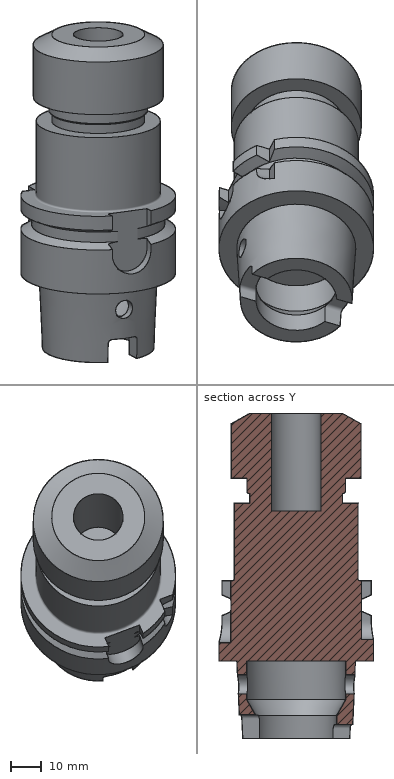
import cadquery as cq

total_height = 105.0
shank_length = 25.0
shank_top_radius = 19.2
shank_end_radius = 18.1
shank_mouth_radius = 13.0
shank_mouth_length = 7.5
shank_cavity_radius = 16.0
clamping_shoulder_top = 12.6
coolant_hole_radius = 3.0
coolant_hole_z = 17.5

flange_radius = 25.0
flange_top = 51.0
groove_radius = 21.5
groove_mid_z = 43.0
groove_floor_width = 3.5
groove_mouth_width = 6.6

body_radius = 20.1
body_top = 76.0
body_root_fillet = 0.6
neck_radius = 15.0
collar_radius = 16.0
collar_bottom = 79.1
collar_chamfer = 0.5
nut_bottom = 84.0
nut_radius = 21.0
nut_face_radius = 15.0
nut_chamfer_height = 3.4
collet_bore_radius = 8.0
collet_bore_depth = 31.5

slot_centre_z = 38.0
left_slot_width = 12.0
left_slot_floor = 21.1
right_slot_width = 14.0
right_slot_floor = 21.2

notch_wall = 15.3
notch_end_radius = left_slot_width / 2

end_slot_width = 10.4
end_slot_corner_radius = 1.3
left_end_slot_depth = 4.5
right_end_slot_depth = 7.7


def turned_blank():
    """Revolve the half profile of the whole holder about Z."""
    half_floor = groove_floor_width / 2
    half_mouth = groove_mouth_width / 2
    profile = (
        cq.Workplane("XZ")
        .moveTo(0, 0)
        .lineTo(shank_end_radius, 0)
        .lineTo(shank_top_radius, shank_length)
        .lineTo(flange_radius, shank_length)
        .lineTo(flange_radius, groove_mid_z - half_mouth)
        .lineTo(groove_radius, groove_mid_z - half_floor)
        .lineTo(groove_radius, groove_mid_z + half_floor)
        .lineTo(flange_radius, groove_mid_z + half_mouth)
        .lineTo(flange_radius, flange_top)
        .lineTo(body_radius + body_root_fillet, flange_top)
        .radiusArc((body_radius, flange_top + body_root_fillet), body_root_fillet)
        .lineTo(body_radius, body_top)
        .lineTo(neck_radius, body_top)
        .lineTo(neck_radius, collar_bottom)
        .lineTo(collar_radius - collar_chamfer, collar_bottom)
        .lineTo(collar_radius, collar_bottom + collar_chamfer)
        .lineTo(collar_radius, nut_bottom)
        .lineTo(nut_radius, nut_bottom)
        .lineTo(nut_radius, total_height - nut_chamfer_height)
        .lineTo(nut_face_radius, total_height)
        .lineTo(0, total_height)
        .close()
    )
    return profile.revolve(360, (0, 0, 0), (0, 1, 0))


def collet_bore():
    """Blind bore from the nut face."""
    return (
        cq.Workplane("XY")
        .workplane(offset=total_height)
        .circle(collet_bore_radius)
        .extrude(-collet_bore_depth)
    )


def shank_cavity():
    """Hollow of the shank: narrow mouth, conical clamping shoulder, wide chamber."""
    profile = (
        cq.Workplane("XZ")
        .moveTo(0, 0)
        .lineTo(shank_mouth_radius, 0)
        .lineTo(shank_mouth_radius, shank_mouth_length)
        .lineTo(shank_cavity_radius, clamping_shoulder_top)
        .lineTo(shank_cavity_radius, shank_length)
        .lineTo(0, shank_length)
        .close()
    )
    return profile.revolve(360, (0, 0, 0), (0, 1, 0))


def round_ended_slot(x_start, x_length, y_centre, end_radius):
    """Cutter along X, open at the flange top, with a half-round lower end."""
    return (
        cq.Workplane("YZ")
        .workplane(offset=x_start)
        .moveTo(y_centre - end_radius, flange_top)
        .lineTo(y_centre - end_radius, slot_centre_z)
        .threePointArc(
            (y_centre, slot_centre_z - end_radius),
            (y_centre + end_radius, slot_centre_z),
        )
        .lineTo(y_centre + end_radius, flange_top)
        .close()
        .extrude(x_length)
    )


def shank_end_slot(side, depth):
    """Cutter through one shank wall; side is -1 for -X and 1 for +X."""
    return (
        cq.Workplane("XY")
        .box(flange_radius, end_slot_width, depth, centered=(True, True, False))
        .edges("|X and >Z")
        .fillet(end_slot_corner_radius)
        .translate((side * flange_radius / 2, 0, 0))
    )


result = turned_blank()

result = result.cut(collet_bore())
result = result.cut(shank_cavity())

coolant_hole = (
    cq.Workplane("YZ")
    .center(0, coolant_hole_z)
    .circle(coolant_hole_radius)
    .extrude(flange_radius, both=True)
)
result = result.cut(coolant_hole)

result = result.cut(round_ended_slot(-left_slot_floor, -flange_radius, 0, left_slot_width / 2))
result = result.cut(round_ended_slot(right_slot_floor, flange_radius, 0, right_slot_width / 2))
notch_centre_y = -notch_wall - notch_end_radius
result = result.cut(round_ended_slot(-notch_wall, -flange_radius, notch_centre_y, notch_end_radius))

result = result.cut(shank_end_slot(-1, left_end_slot_depth))
result = result.cut(shank_end_slot(1, right_end_slot_depth))